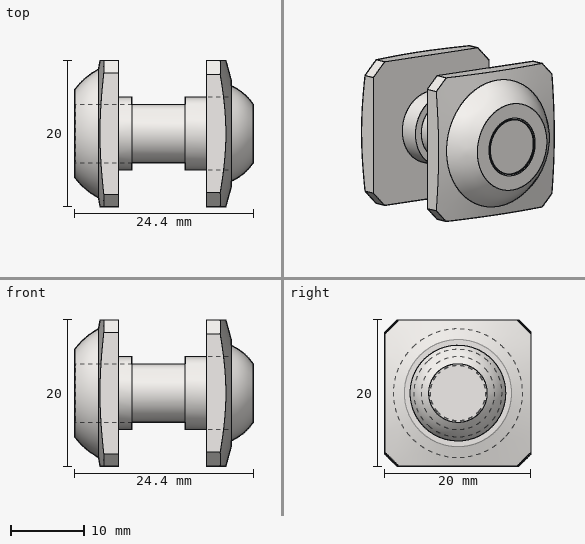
import cadquery as cq
import math

TOTAL_LENGTH = 24.4
PLATE_SIDE = 20.0
SHANK_RADIUS = 4.0
SHOULDER_RADIUS = 5.0

KNOB_FACE_RADIUS = 6.0
KNOB_DOME_RADIUS = 10.0
KNOB_DOME_BASE_RADIUS = 8.8
KNOB_CORNER_CUT = 1.7
KNOB_CONE_DROP = 0.73
KNOB_PLATE_BACK = 6.0
KNOB_COLLAR_END = 7.8

WASHER_BACK = 18.0
WASHER_FACE = 21.4
WASHER_FACE_RADIUS = 7.32
WASHER_CORNER_CUT = 1.95
WASHER_CONE_DROP = 1.51

PIN_SHOULDER_START = 15.08
HEAD_BASE_RADIUS = 6.55
HEAD_END_RADIUS = SHANK_RADIUS
GROOVE_OUTER_RADIUS = 3.8
GROOVE_INNER_RADIUS = 3.75
GROOVE_DEPTH = 0.12


def x_cylinder(radius, start, end):
    return cq.Workplane("YZ", origin=(start, 0, 0)).circle(radius).extrude(end - start)


def square_prism(start, end, corner_cut):
    """Square bar along X with its four long edges chamfered."""
    bar = cq.Workplane("YZ", origin=(start, 0, 0)).rect(PLATE_SIDE, PLATE_SIDE).extrude(end - start)
    return bar.edges("|X").chamfer(corner_cut)


def corner_radius(corner_cut):
    """Distance from the axis to a vertex of the chamfered square."""
    half_side = PLATE_SIDE / 2
    return math.hypot(half_side, half_side - corner_cut)


def revolve_about_x(profile):
    """Revolve a closed (X, radius) profile drawn in the XY plane."""
    return profile.close().revolve(360, (0, 0, 0), (1, 0, 0))


def sphere_arc_point(center, radius, axial):
    """Point at a given X on a spherical surface centred on the axis."""
    return axial, math.sqrt(radius**2 - (axial - center) ** 2)


def make_knob():
    dome_center = math.sqrt(KNOB_DOME_RADIUS**2 - KNOB_FACE_RADIUS**2)
    dome_base = dome_center - math.sqrt(KNOB_DOME_RADIUS**2 - KNOB_DOME_BASE_RADIUS**2)
    rim_radius = corner_radius(KNOB_CORNER_CUT)
    envelope = revolve_about_x(
        cq.Workplane("XY")
        .moveTo(0, 0)
        .lineTo(0, KNOB_FACE_RADIUS)
        .threePointArc(
            sphere_arc_point(dome_center, KNOB_DOME_RADIUS, dome_base / 2),
            (dome_base, KNOB_DOME_BASE_RADIUS),
        )
        .lineTo(dome_base + KNOB_CONE_DROP, rim_radius)
        .lineTo(KNOB_PLATE_BACK, rim_radius)
        .lineTo(KNOB_PLATE_BACK, 0)
    )
    body = envelope.intersect(square_prism(0, KNOB_PLATE_BACK, KNOB_CORNER_CUT))
    body = body.union(x_cylinder(SHOULDER_RADIUS, KNOB_PLATE_BACK, KNOB_COLLAR_END))
    return body.cut(x_cylinder(SHANK_RADIUS, 0, KNOB_COLLAR_END))


def make_washer():
    rim_radius = corner_radius(WASHER_CORNER_CUT)
    envelope = revolve_about_x(
        cq.Workplane("XY")
        .moveTo(WASHER_BACK, 0)
        .lineTo(WASHER_BACK, rim_radius)
        .lineTo(WASHER_FACE - WASHER_CONE_DROP, rim_radius)
        .lineTo(WASHER_FACE, WASHER_FACE_RADIUS)
        .lineTo(WASHER_FACE, 0)
    )
    body = envelope.intersect(square_prism(WASHER_BACK, WASHER_FACE, WASHER_CORNER_CUT))
    return body.cut(x_cylinder(SHOULDER_RADIUS, WASHER_BACK, WASHER_FACE))


def make_pin():
    head_length = TOTAL_LENGTH - WASHER_FACE
    center_to_base = (HEAD_END_RADIUS**2 + head_length**2 - HEAD_BASE_RADIUS**2) / (2 * head_length)
    head_center = WASHER_FACE + center_to_base
    head_radius = math.hypot(center_to_base, HEAD_BASE_RADIUS)
    body = revolve_about_x(
        cq.Workplane("XY")
        .moveTo(0, 0)
        .lineTo(0, SHANK_RADIUS)
        .lineTo(PIN_SHOULDER_START, SHANK_RADIUS)
        .lineTo(PIN_SHOULDER_START, SHOULDER_RADIUS)
        .lineTo(WASHER_FACE, SHOULDER_RADIUS)
        .lineTo(WASHER_FACE, HEAD_BASE_RADIUS)
        .threePointArc(
            sphere_arc_point(head_center, head_radius, WASHER_FACE + head_length / 2),
            (TOTAL_LENGTH, HEAD_END_RADIUS),
        )
        .lineTo(TOTAL_LENGTH, 0)
    )
    groove = x_cylinder(GROOVE_OUTER_RADIUS, 0, GROOVE_DEPTH).cut(
        x_cylinder(GROOVE_INNER_RADIUS, 0, GROOVE_DEPTH)
    )
    return body.cut(groove)


knob = make_knob()
washer = make_washer()
pin = make_pin()

result = cq.Compound.makeCompound([knob.solids().val(), washer.solids().val(), pin.solids().val()])